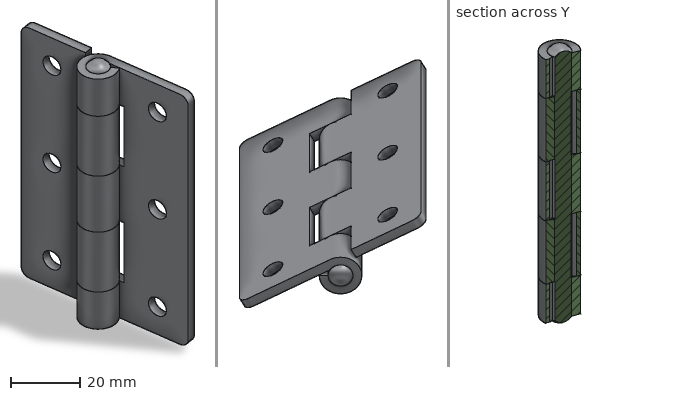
import cadquery as cq
import math

total_height = 94.2
total_width = 60.0
leaf_height = 90.1
leaf_thickness = 3.0
corner_radius = 3.0
barrel_diameter = 12.3
pin_radius = 3.6
leaf_edge = 6.9
curl_end_angle = 29.0

end_knuckle = 13.4
inner_knuckle = 21.6

hole_diameter = 6.4
hole_offset = 18.9
hole_pitch = 35.0

barrel_radius = barrel_diameter / 2
leaf_outer = total_width / 2
leaf_back = barrel_radius
leaf_front = leaf_back - leaf_thickness
half_height = leaf_height / 2
dome_height = (total_height - leaf_height) / 2
inner_start = half_height - end_knuckle
middle_start = inner_start - inner_knuckle

outer_set = [
    (-half_height, -inner_start),
    (-middle_start, middle_start),
    (inner_start, half_height),
]
inner_set = [
    (-inner_start, -middle_start),
    (middle_start, inner_start),
]


def polar(radius, degrees):
    """Point in the XY plane at a radius and angle about the pin axis."""
    angle = math.radians(degrees)
    return radius * math.cos(angle), radius * math.sin(angle)


def make_plate():
    """Flat part of the right-hand leaf, with rounded outer corners and screw holes."""
    plate = (
        cq.Workplane("XY")
        .box(leaf_outer - leaf_edge, leaf_thickness, leaf_height, centered=(False, False, True))
        .translate((leaf_edge, leaf_front, 0))
        .edges(">X and |Y")
        .fillet(corner_radius)
    )
    holes = (
        cq.Workplane("XZ")
        .pushPoints([(hole_offset, row * hole_pitch) for row in (-1, 0, 1)])
        .circle(hole_diameter / 2)
        .extrude(-2 * leaf_back)
    )
    return plate.cut(holes)


def make_knuckle(bottom, top):
    """Tab rolled around the pin, leaving a narrow slit where the curl ends."""
    bore_meets_front = math.sqrt(pin_radius**2 - leaf_front**2)
    bore_start_angle = math.degrees(math.asin(leaf_front / pin_radius))
    middle_angle = (bore_start_angle + curl_end_angle + 360) / 2
    return (
        cq.Workplane("XY")
        .workplane(offset=bottom)
        .moveTo(leaf_edge, leaf_back)
        .lineTo(0, leaf_back)
        .threePointArc(polar(barrel_radius, middle_angle), polar(barrel_radius, curl_end_angle))
        .lineTo(*polar(pin_radius, curl_end_angle))
        .threePointArc(polar(pin_radius, middle_angle), (bore_meets_front, leaf_front))
        .lineTo(leaf_edge, leaf_front)
        .close()
        .extrude(top - bottom)
    )


def make_leaf(knuckle_spans):
    """Right-hand leaf: one plate with its knuckles."""
    leaf = make_plate()
    for bottom, top in knuckle_spans:
        leaf = leaf.union(make_knuckle(bottom, top))
    return leaf


def make_pin():
    """Round pin with a spherical dome at each end, turned about Z."""
    half_total = total_height / 2
    dome_radius = (pin_radius**2 + dome_height**2) / (2 * dome_height)
    dome_center = half_total - dome_radius
    mid_x = pin_radius / 2
    mid_z = dome_center + math.sqrt(dome_radius**2 - mid_x**2)
    return (
        cq.Workplane("XZ")
        .moveTo(0, -half_total)
        .threePointArc((mid_x, -mid_z), (pin_radius, -half_height))
        .lineTo(pin_radius, half_height)
        .threePointArc((mid_x, mid_z), (0, half_total))
        .close()
        .revolve(360, (0, 0, 0), (0, 1, 0))
    )


right_leaf = make_leaf(outer_set)
left_leaf = make_leaf(inner_set).mirror("YZ")
pin = make_pin()

bodies = [right_leaf, left_leaf, pin]
result = cq.Compound.makeCompound([body.solids().val() for body in bodies])